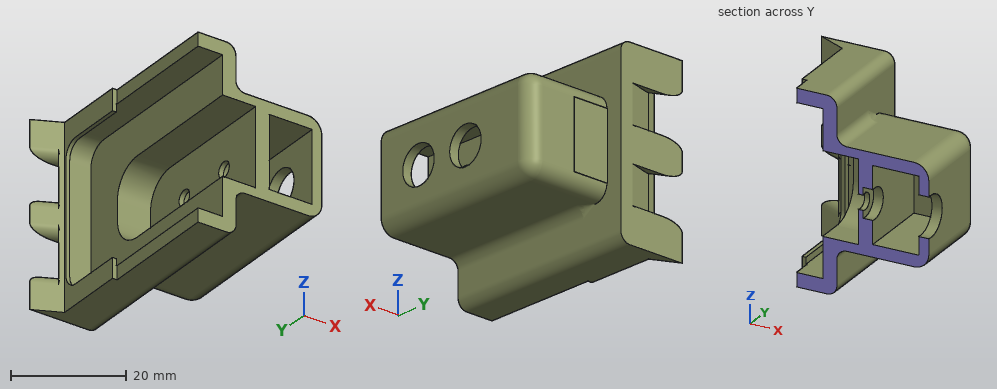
import cadquery as cq
import math

length = 41.55
flange_height = 38.0
flange_front = 5.55
flange_back = 14.55
flange_corner_radius = 2.08

block_back = 32.7
block_height = 20.03
block_end = 37.98
block_edge_radius = 3.0
root_radius = 1.9
end_pad_back = 22.3
end_pad_thickness = 0.12

hook_base_y = 38.95
notch_spacing = 15.15
notch_mouth = 11.85
notch_round = 2.0
notch_mouth_depth = 4.6
notch_floor_end = 11.7

rim_back = 6.35
rim_step_x = 6.52
rim_step_y = 24.47
mouth_height = 29.35
mouth_end = 38.5
mouth_radius = 3.0
mouth_offset = -0.15
pocket_floor = 11.7
pocket_height = 32.33
pocket_end = 39.8
pocket_radius = 4.01
slot_floor = 18.7
slot_height = 16.25
slot_end = 31.75
slot_radius = 6.0

cavity_front = 21.6
cavity_back = 30.65
cavity_height = 15.0
cavity_end = 35.53
screw_diameter = 3.2
head_diameter = 6.0
head_seat_thickness = 1.0
access_diameter = 8.0
screw_positions = (9.55, 21.52)


def slab(x_start, x_end, y_end, height):
    """Box starting at Y = 0 and centred on the mid-plane."""
    return cq.Workplane("XY").box(
        x_end - x_start, y_end, height, centered=(False, False, True)
    ).translate((x_start, 0, 0))


def rounded_recess(x_start, x_end, y_end, height, radius):
    """Recess cutter with its two far corners rounded about X."""
    return slab(x_start, x_end, y_end, height).edges("|X and >Y").fillet(radius)


def x_cylinder(x_start, x_end, y, diameter):
    """Round cutter along X on the mid-plane."""
    return (
        cq.Workplane("YZ", origin=(x_start, y, 0))
        .circle(diameter / 2)
        .extrude(x_end - x_start)
    )


def root_profile(y, size):
    """Concave fillet section in the upper corner between flange and block."""
    mid = size * (1 - math.sqrt(0.5))
    return (
        cq.Workplane("XZ", origin=(flange_back, y, block_height / 2))
        .moveTo(0, 0)
        .lineTo(size, 0)
        .threePointArc((mid, mid), (0, size))
        .close()
    )


def root_fillet():
    """Concave fillet that tapers away before the rounded end of the block."""
    taper_start = block_end - 2 * block_edge_radius
    taper_end = block_end - block_edge_radius
    tip_size = 0.02
    straight = root_profile(0, root_radius).extrude(-taper_start)
    wires = [
        root_profile(taper_start, root_radius).val(),
        root_profile(taper_end, tip_size).val(),
    ]
    taper = cq.Workplane(cq.Solid.makeLoft(wires, True))
    return straight.union(taper)


def hook_notch(z_centre):
    """Notch through the hook lip, its sides rounded into the sloped face."""
    slope = (length - hook_base_y) / flange_front
    slope_angle = math.atan(slope)
    cos_a = math.cos(slope_angle)
    sin_a = math.sin(slope_angle)
    half = notch_mouth / 2
    neck = half - notch_round
    near = notch_round * (1 - math.sqrt(0.5))
    bulge = half - notch_round * math.sqrt(0.5)
    reach = length / 2
    sloped_face = cq.Plane(
        origin=(0, length, z_centre), xDir=(sin_a, cos_a, 0), normal=(cos_a, -sin_a, 0)
    )
    opening = (
        cq.Workplane(sloped_face)
        .moveTo(0, -half)
        .threePointArc((near, -bulge), (notch_round, -neck))
        .lineTo(reach, -neck)
        .lineTo(reach, neck)
        .lineTo(notch_round, neck)
        .threePointArc((near, bulge), (0, half))
        .close()
        .extrude(reach, both=True)
    )
    floor_limit = (
        cq.Workplane("XY")
        .polyline([
            (0, length),
            (notch_mouth_depth, length - slope * notch_mouth_depth),
            (notch_floor_end, length),
        ])
        .close()
        .extrude(flange_height, both=True)
    )
    return opening.intersect(floor_limit)


flange = slab(flange_front, flange_back, length, flange_height)
flange = flange.edges("|Y and >X").fillet(flange_corner_radius)
hook = (
    cq.Workplane("XY")
    .polyline([(0, length), (flange_front, hook_base_y), (flange_front, length)])
    .close()
    .extrude(flange_height / 2, both=True)
)

block = slab(pocket_floor, block_back, block_end, block_height)
block = block.edges("(|Y and >X) or (>Y and (not <X))").fillet(block_edge_radius)

end_pad = slab(
    pocket_floor, end_pad_back, block_end + end_pad_thickness, block_height - 2 * block_edge_radius
)

upper_root = root_fillet()
result = flange.union(hook).union(block).union(end_pad)
result = result.union(upper_root).union(upper_root.mirror("XY"))

result = result.cut(slab(0, rim_step_x, rim_step_y, flange_height))
mouth = rounded_recess(0, rim_back, mouth_end, mouth_height, mouth_radius)
result = result.cut(mouth.translate((0, 0, mouth_offset)))
result = result.cut(rounded_recess(rim_back, pocket_floor, pocket_end, pocket_height, pocket_radius))
result = result.cut(rounded_recess(pocket_floor, slot_floor, slot_end, slot_height, slot_radius))

result = result.cut(slab(cavity_front, cavity_back, cavity_end, cavity_height))
for screw_y in screw_positions:
    result = result.cut(x_cylinder(slot_floor, cavity_front, screw_y, screw_diameter))
    head_seat = slot_floor + head_seat_thickness
    result = result.cut(x_cylinder(head_seat, cavity_front, screw_y, head_diameter))
    result = result.cut(x_cylinder(cavity_back, block_back, screw_y, access_diameter))

for side in (-1, 1):
    result = result.cut(hook_notch(side * notch_spacing / 2))